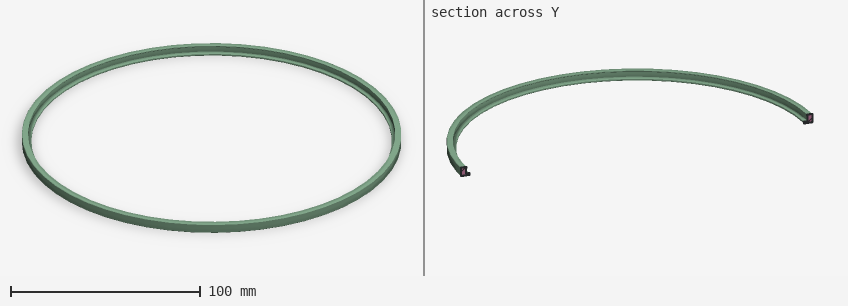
import cadquery as cq
outer_radius = 200.0 / 2
bore_radius = 190.0 / 2
groove_radius = 194.0 / 2
height = 5.0
lip_thickness = 1.25
mouth_land = 0.5
bevel = 0.25

mouth_radius = groove_radius - bevel
groove_top = height - mouth_land

section = [
    (bore_radius + bevel, 0),
    (outer_radius - bevel, 0),
    (outer_radius, bevel),
    (outer_radius, height - bevel),
    (outer_radius - bevel, height),
    (mouth_radius, height),
    (mouth_radius, groove_top),
    (groove_radius, groove_top - bevel),
    (groove_radius, lip_thickness + bevel),
    (mouth_radius, lip_thickness),
    (bore_radius + bevel, lip_thickness),
    (bore_radius, lip_thickness - bevel),
    (bore_radius, bevel),
]

axis_start = (0, 0, 0)
axis_end = (0, 1, 0)
result = cq.Workplane("XZ").polyline(section).close().revolve(360, axis_start, axis_end)